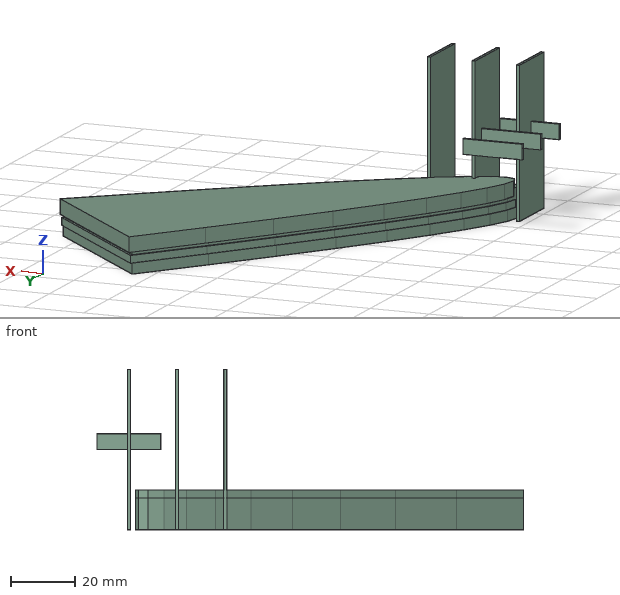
import cadquery as cq

first_center = 10.0
pitch = 15.0
row_centers = [first_center + pitch * i for i in range(3)]
sheet_thickness = 1.0
sheet_length = 20.0

fin_height = 50.0
bar_height = 5.0
bar_bottom = 25.0

steps_per_side = 10
side_step = 2.0
vertex_x = 13.0

core_vertex_y = 13.0
core_height = 10.0
layer_shift = 1.25
rib_vertex_y = core_vertex_y + layer_shift
rib_bottom = 3.75
rib_thickness = 2.5
plate_vertex_y = core_vertex_y + 2 * layer_shift
plate_bottom = 7.5
plate_thickness = 5.0


def make_layer(vertex_y, bottom, thickness):
    """Flat parabolic slab, closed by a straight edge across its wide end."""
    steps = range(-steps_per_side, steps_per_side + 1)
    corners = [(vertex_x + n**2 + side_step * n, vertex_y + n**2 - side_step * n) for n in steps]
    return cq.Workplane("XY").workplane(offset=bottom).polyline(corners).close().extrude(thickness)


def make_fin(center_x):
    """Upright sheet standing on Z = 0."""
    fin = cq.Workplane("XY").box(sheet_thickness, sheet_length, fin_height, centered=(True, False, False))
    return fin.translate((center_x, 0, 0))


def make_bar(center_y):
    """Raised flat bar running along X."""
    bar = cq.Workplane("XY").box(sheet_length, sheet_thickness, bar_height, centered=(False, True, False))
    return bar.translate((0, center_y, bar_bottom))


cross = make_fin(row_centers[0]).union(make_bar(row_centers[0]))

core = make_layer(core_vertex_y, 0, core_height)
rib = make_layer(rib_vertex_y, rib_bottom, rib_thickness)
plate = make_layer(plate_vertex_y, plate_bottom, plate_thickness)
wedge = core.union(rib).union(plate).union(make_fin(row_centers[1]))

free_fin = make_fin(row_centers[2])

free_bars = [make_bar(center_y) for center_y in row_centers[1:]]

result = cq.Compound.makeCompound(
    [cross.val(), wedge.val(), free_fin.val(), *[bar.val() for bar in free_bars]]
)